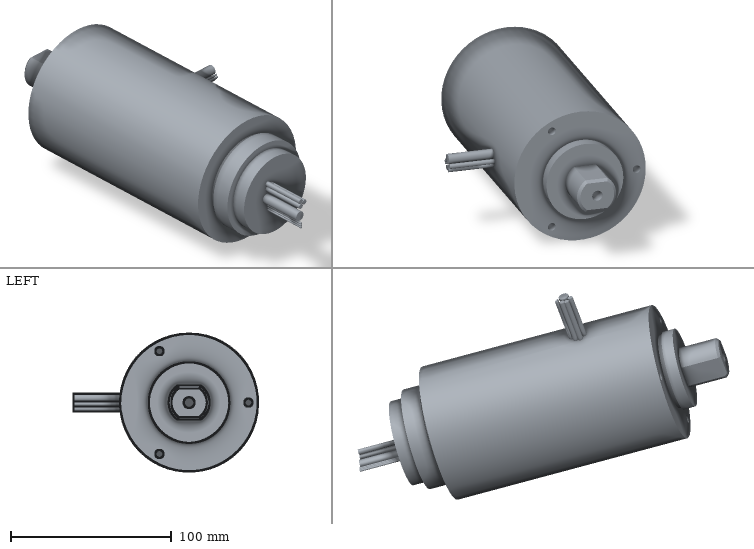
import cadquery as cq
import math


SHAFT_DIAMETER, SHAFT_LENGTH = 25.5, 25.5
COLLAR_DIAMETER, COLLAR_LENGTH = 50.2, 7.5
FRONT_NECK_DIAMETER, FRONT_NECK_LENGTH = 47.0, 2.6
BODY_DIAMETER, BODY_LENGTH = 86.0, 150.2
REAR_NECK_DIAMETER, REAR_NECK_LENGTH = 61.5, 2.6
FLANGE_DIAMETER, FLANGE_LENGTH = 64.3, 12.5
CAP_DIAMETER, CAP_LENGTH = 54.2, 9.5

SHAFT_FLATS_WIDTH = 21.0
SHAFT_CHAMFER = 1.7
SHAFT_BORE_DIAMETER = 6.7
SHAFT_BORE_DEPTH = 16.8

MOUNT_HOLE_COUNT = 3
MOUNT_HOLE_DIAMETER = 5.0
MOUNT_HOLE_DEPTH = 10.0
MOUNT_CIRCLE_RADIUS = 37.0

OVERALL_LENGTH = 240.0
SIDE_WIRE_TIP_Y = 72.0
WIRE_ROOT_DEPTH = 2.5
CABLE_DIAMETER = 6.5
REAR_LEAD_DIAMETER = 3.4
SIDE_LEAD_DIAMETER = 3.0
THIN_WIRE_DIAMETER = 1.32

REAR_CABLE = [(-7.5, 0.0)]
REAR_LEADS = [(-6.5, 10.3), (-3.4, 8.6), (-6.5, 6.7)]
REAR_THIN_WIRES = [(-6.0, -6.0), (-6.0, -7.5), (-6.0, -9.0)]

SIDE_CABLE = [(81.8, 2.5)]
SIDE_LEADS = [(77.5, -1.0), (80.0, -4.0), (83.0, -3.5)]
SIDE_THIN_WIRES = [(86.0, 0.5), (87.0, -0.7), (86.0, -2.0)]

BODY_START = SHAFT_LENGTH + COLLAR_LENGTH + FRONT_NECK_LENGTH
REAR_FACE = BODY_START + BODY_LENGTH + REAR_NECK_LENGTH + FLANGE_LENGTH + CAP_LENGTH


def rod(x, y, z, diameter, length, direction):
    """Round rod starting at (x, y, z) and running along the given direction."""
    return cq.Workplane(
        cq.Solid.makeCylinder(diameter / 2, length, cq.Vector(x, y, z), cq.Vector(*direction))
    )


def along_x(start, y, z, diameter, length):
    return rod(start, y, z, diameter, length, (1, 0, 0))


def make_shaft():
    """Output shaft with two flats, a chamfered tip and a centre bore."""
    shaft = along_x(0, 0, 0, SHAFT_DIAMETER, SHAFT_LENGTH)
    flats = cq.Workplane().box(
        SHAFT_LENGTH, SHAFT_DIAMETER, SHAFT_FLATS_WIDTH, centered=(False, True, True)
    )
    shaft = shaft.intersect(flats).faces("<X").chamfer(SHAFT_CHAMFER)
    return shaft.cut(along_x(0, 0, 0, SHAFT_BORE_DIAMETER, SHAFT_BORE_DEPTH))


def make_housing():
    """Collar, necks, body, flange and cap stacked behind the shaft."""
    sections = [
        (COLLAR_DIAMETER, COLLAR_LENGTH),
        (FRONT_NECK_DIAMETER, FRONT_NECK_LENGTH),
        (BODY_DIAMETER, BODY_LENGTH),
        (REAR_NECK_DIAMETER, REAR_NECK_LENGTH),
        (FLANGE_DIAMETER, FLANGE_LENGTH),
        (CAP_DIAMETER, CAP_LENGTH),
    ]
    housing = cq.Workplane()
    start = SHAFT_LENGTH
    for diameter, length in sections:
        housing = housing.union(along_x(start, 0, 0, diameter, length))
        start += length
    return housing


def drill_mount_holes(part):
    """Blind holes spaced evenly on a circle, the first one on the -Y side."""
    for i in range(MOUNT_HOLE_COUNT):
        angle = math.pi + i * 2 * math.pi / MOUNT_HOLE_COUNT
        y = MOUNT_CIRCLE_RADIUS * math.cos(angle)
        z = MOUNT_CIRCLE_RADIUS * math.sin(angle)
        part = part.cut(along_x(BODY_START, y, z, MOUNT_HOLE_DIAMETER, MOUNT_HOLE_DEPTH))
    return part


def add_rear_wires(part, centres, diameter):
    """Wires leaving the rear cap along +X."""
    root = REAR_FACE - WIRE_ROOT_DEPTH
    for y, z in centres:
        part = part.union(along_x(root, y, z, diameter, OVERALL_LENGTH - root))
    return part


def add_side_wires(part, centres, diameter):
    """Wires leaving the side of the body along +Y."""
    root = BODY_DIAMETER / 2 - WIRE_ROOT_DEPTH
    for x, z in centres:
        part = part.union(rod(x, root, z, diameter, SIDE_WIRE_TIP_Y - root, (0, 1, 0)))
    return part


result = make_shaft().union(make_housing())
result = drill_mount_holes(result)

result = add_rear_wires(result, REAR_CABLE, CABLE_DIAMETER)
result = add_rear_wires(result, REAR_LEADS, REAR_LEAD_DIAMETER)
result = add_rear_wires(result, REAR_THIN_WIRES, THIN_WIRE_DIAMETER)

result = add_side_wires(result, SIDE_CABLE, CABLE_DIAMETER)
result = add_side_wires(result, SIDE_LEADS, SIDE_LEAD_DIAMETER)
result = add_side_wires(result, SIDE_THIN_WIRES, THIN_WIRE_DIAMETER)